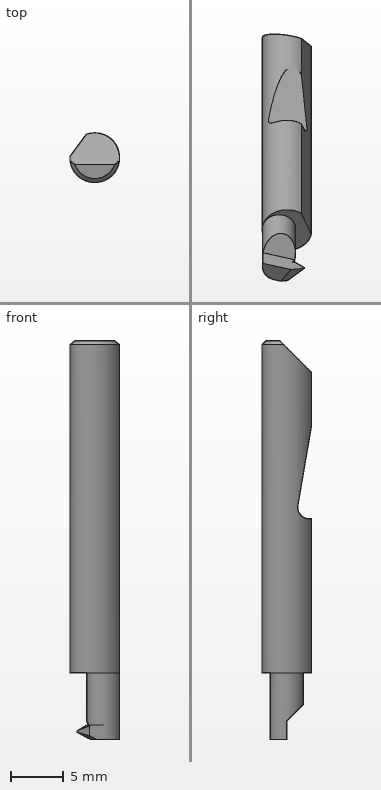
import cadquery as cq
import math

total_height = 38.1
shank_radius = 2.38
shank_bottom = 6.35
end_chamfer = 0.4
side_flat_angle = 143.5
side_flat_distance = 2.0
end_slope_foot = 35.05

notch_bottom = 21.1
notch_top = 30.02
notch_angle = 9.7
notch_radius = 1.05

neck_radius = 1.58
neck_x = shank_radius - neck_radius
neck_slope_foot = 1.75

head_height = 1.37
tip_x = -1.7
tip_z = 0.75
tip_width = 0.1
heel_x = -0.5
heel_z = 0.85
heel_width = 0.95
upper_flank_angle = 31
lower_flank_angle = 28
relief_inner_x = -0.57
relief_rise = 0.4

clearance = 3.8


def prism_along_x(points):
    """Extrude a (Y, Z) outline right across the part."""
    width = 2 * (shank_radius + clearance)
    return cq.Workplane("YZ").polyline(points).close().extrude(width / 2, both=True)


def make_shank():
    shank = (
        cq.Workplane("XY", origin=(0, 0, shank_bottom))
        .circle(shank_radius)
        .extrude(total_height - shank_bottom)
        .faces(">Z")
        .chamfer(end_chamfer)
    )
    side_flat = (
        cq.Workplane("XY")
        .box(clearance, 4 * shank_radius, total_height, centered=(False, True, False))
        .translate((side_flat_distance, 0, 0))
        .rotate((0, 0, 0), (0, 0, 1), side_flat_angle)
    )
    outer_y = shank_radius + clearance
    end_slope = prism_along_x([
        (outer_y, end_slope_foot - clearance),
        (outer_y, total_height + clearance),
        (shank_radius - (total_height + clearance - end_slope_foot), total_height + clearance),
    ])
    return shank.cut(side_flat).cut(end_slope).cut(make_notch())


def make_notch():
    """Gently sloping notch ending in a rounded step."""
    slope = math.tan(math.radians(notch_angle))
    depth = (notch_top - notch_bottom) * slope
    root_y = shank_radius - depth
    outer_y = shank_radius + clearance
    notch = prism_along_x([
        (root_y, notch_bottom),
        (outer_y, notch_bottom),
        (outer_y, notch_top + clearance / slope),
    ])
    return notch.edges("|X and <Y").fillet(notch_radius)


def make_neck():
    neck = cq.Workplane("XY").center(neck_x, 0).circle(neck_radius).extrude(shank_bottom)
    chip_space = prism_along_x([
        (0, -clearance),
        (0, neck_slope_foot),
        (clearance, neck_slope_foot + clearance),
        (clearance, -clearance),
    ])
    outer_x = neck_x - neck_radius
    rise_slope = relief_rise / (relief_inner_x - outer_x)
    head_space = (
        cq.Workplane("XZ")
        .polyline([
            (neck_x, -clearance),
            (neck_x, head_height),
            (relief_inner_x, head_height),
            (outer_x - clearance, head_height + relief_rise + clearance * rise_slope),
            (outer_x - clearance, -clearance),
        ])
        .close()
        .extrude(2 * neck_radius, both=True)
        .intersect(cq.Workplane("XY").box(4 * shank_radius, 4 * shank_radius, 2 * shank_bottom))
    )
    return neck.cut(chip_space).cut(head_space)


def head_outline(nose_x, nose_z, nose_width):
    """Return (X, Z) points of a head section with a narrow, flat-ended nose."""
    upper_z = nose_z + nose_width / 2
    lower_z = nose_z - nose_width / 2
    upper_run = (head_height - upper_z) / math.tan(math.radians(upper_flank_angle))
    lower_run = lower_z / math.tan(math.radians(lower_flank_angle))
    return [
        (nose_x, lower_z),
        (nose_x + lower_run, 0),
        (neck_x, 0),
        (neck_x, head_height),
        (nose_x + upper_run, head_height),
        (nose_x, upper_z),
    ]


def make_head():
    """Pointed tooth whose faces recede from the rake face to give clearance."""
    return (
        cq.Workplane("XZ")
        .polyline(head_outline(tip_x, tip_z, tip_width))
        .close()
        .workplane(offset=neck_radius)
        .polyline(head_outline(heel_x, heel_z, heel_width))
        .close()
        .loft(ruled=True)
    )


result = make_shank().union(make_neck()).union(make_head())